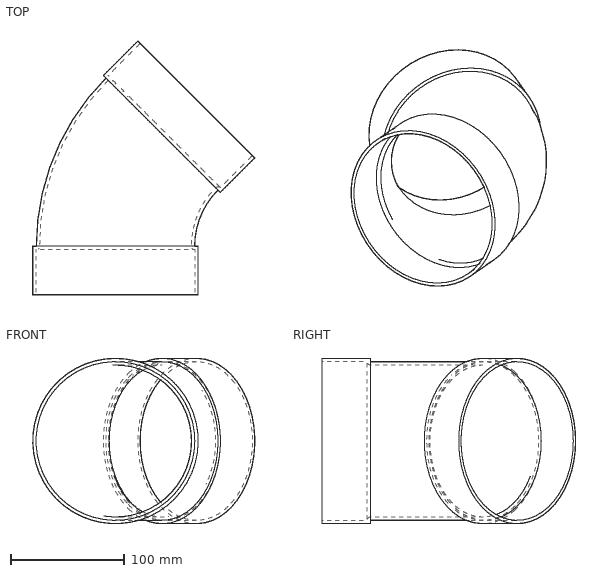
import cadquery as cq
import math

pipe_diameter = 140.0
wall = 3.0
socket_depth = 40.0
bend_radius = 140.0
bend_angle = 45.0

socket_bore_radius = pipe_diameter / 2
socket_outer_radius = socket_bore_radius + wall
bend_outer_radius = pipe_diameter / 2
bend_bore_radius = bend_outer_radius - wall
stop_round_radius = socket_bore_radius - bend_bore_radius
socket_length = socket_depth + stop_round_radius

angle = math.radians(bend_angle)
inlet_axis = cq.Vector(0, 1, 0)
outlet_axis = cq.Vector(math.sin(angle), math.cos(angle), 0)
bend_start = inlet_axis * socket_length
bend_end = bend_start + cq.Vector(
    bend_radius * (1 - math.cos(angle)), bend_radius * math.sin(angle), 0
)
inlet_mouth = cq.Vector(0, 0, 0)
outlet_mouth = bend_end + outlet_axis * socket_length


def curved_cylinder(radius):
    """Round section revolved around the bend pivot, between the two sockets."""
    section = cq.Workplane(cq.Plane(bend_start, xDir=(1, 0, 0), normal=inlet_axis)).circle(radius)
    pivot = (bend_radius, 0, 0)
    pivot_axis_point = (bend_radius, 1, 0)
    return section.revolve(bend_angle, pivot, pivot_axis_point)


def socket_outside(mouth, inward):
    """Cylinder running from the mouth to the end of the socket."""
    return cq.Workplane(cq.Solid.makeCylinder(socket_outer_radius, socket_length, mouth, inward))


def socket_bore(mouth, inward):
    """Bore whose stop is a convex quarter round leading into the bend bore."""
    arc_offset = stop_round_radius * math.sqrt(0.5)
    arc_middle = (socket_bore_radius - arc_offset, socket_length - arc_offset)
    plane = cq.Plane(mouth, xDir=inward.cross(cq.Vector(0, 0, 1)), normal=(0, 0, 1))
    return (
        cq.Workplane(plane)
        .lineTo(socket_bore_radius, 0)
        .lineTo(socket_bore_radius, socket_depth)
        .threePointArc(arc_middle, (bend_bore_radius, socket_length))
        .lineTo(0, socket_length)
        .close()
        .revolve(360, (0, 0, 0), (0, 1, 0))
    )


sockets = [(inlet_mouth, inlet_axis), (outlet_mouth, -outlet_axis)]

outside = curved_cylinder(bend_outer_radius)
bore = curved_cylinder(bend_bore_radius)
for mouth, inward in sockets:
    outside = outside.union(socket_outside(mouth, inward))
    bore = bore.union(socket_bore(mouth, inward))

result = outside.cut(bore)